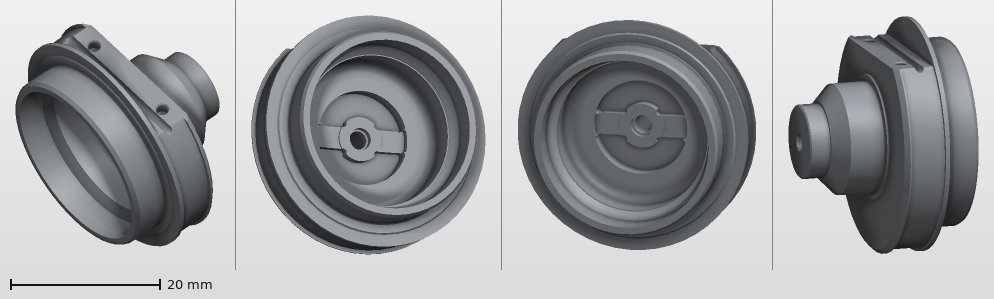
import cadquery as cq
import math


length = 21.25
neck_y = 4.7
step_y = 4.85
flange_front_y = 5.05
flange_back_y = 5.65
lip_y = 10.4
body_back_y = 11.25
collar_back_y = 11.55
boss_y = 18.45

sleeve_radius = 12.7
step_radius = 14.15
flange_radius = 15.75
groove_radius = 15.25
collar_radius = 8.4
shoulder_radius = 7.5
cone_small_radius = 5.4
boss_radius = 5.0

sleeve_chamfer_length = 0.55
sleeve_chamfer_depth = 0.3
neck_chamfer = step_y - neck_y
step_chamfer = flange_front_y - step_y
lip_chamfer = 0.65
collar_foot_fillet = 0.25
shoulder_foot_chamfer = 0.13
boss_chamfer = 0.2

mouth_radius = 11.5
mouth_depth = 3.9
bore_radius = 10.3
seat_ledge = 0.13
seat_depth = mouth_depth + mouth_radius - bore_radius - seat_ledge
floor_depth = 10.0
floor_fillet = 1.25

recess_radius = 6.42
recess_depth = 2.2
bar_half_width = 1.47
bar_drop = 1.1
hub_radius = 3.0
hub_drop = 0.8
relief_radius = 0.5
hub_relief_x = 2.47
bar_end_overcut = 0.08
center_hole_radius = 1.25
counterbore_radius = 1.5
counterbore_depth = 1.0

flat_z = 11.5
cross_groove_y = 7.6
cross_groove_radius = 0.6
pin_hole_x = 7.0
pin_hole_y = 9.2
pin_hole_radius = 0.8
pin_hole_chamfer = 0.2
pin_hole_depth = 1.5
drill_point_angle = 118.0


def revolve_profile(profile):
    """Turn a half profile, drawn as (radius, y), about the Y axis."""
    return profile.close().revolve(360, (0, 0, 0), (0, 1, 0))


def cylinder(radius, y_start, y_end):
    """Solid cylinder along Y."""
    return cq.Workplane("XZ", origin=(0, y_start, 0)).circle(radius).extrude(y_start - y_end)


def slab(width, height, y_start, y_end):
    """Rectangular block centred on the Y axis."""
    return cq.Workplane("XZ", origin=(0, y_start, 0)).rect(width, height).extrude(y_start - y_end)


def make_body():
    foot_arc_offset = collar_foot_fillet * (1 - math.sqrt(0.5))
    front_outline = [
        (0, 0),
        (sleeve_radius - sleeve_chamfer_depth, 0),
        (sleeve_radius, sleeve_chamfer_length),
        (sleeve_radius, neck_y),
        (sleeve_radius + neck_chamfer, step_y),
        (step_radius - step_chamfer, step_y),
        (step_radius, flange_front_y),
        (flange_radius, flange_front_y),
        (flange_radius, flange_back_y),
        (groove_radius, flange_back_y),
        (groove_radius, lip_y),
        (flange_radius, lip_y),
        (flange_radius, body_back_y - lip_chamfer),
        (flange_radius - lip_chamfer, body_back_y),
        (collar_radius + collar_foot_fillet, body_back_y),
    ]
    foot_arc_middle = (collar_radius + foot_arc_offset, body_back_y + foot_arc_offset)
    foot_arc_end = (collar_radius, body_back_y + collar_foot_fillet)
    rear_outline = [
        foot_arc_end,
        (collar_radius, collar_back_y),
        (shoulder_radius + shoulder_foot_chamfer, collar_back_y),
        (shoulder_radius, collar_back_y + shoulder_foot_chamfer),
        (shoulder_radius, boss_y - (shoulder_radius - cone_small_radius)),
        (cone_small_radius, boss_y),
        (boss_radius, boss_y),
        (boss_radius, length - boss_chamfer),
        (boss_radius - boss_chamfer, length),
        (0, length),
    ]
    profile = cq.Workplane("XY").polyline(front_outline)
    profile = profile.threePointArc(foot_arc_middle, foot_arc_end)
    profile = profile.polyline(rear_outline)
    return revolve_profile(profile)


def make_bore():
    fillet_start_y = floor_depth - floor_fillet
    floor_radius = bore_radius - floor_fillet
    fillet_mid = floor_fillet * math.sqrt(0.5)
    profile = (
        cq.Workplane("XY")
        .moveTo(0, 0)
        .lineTo(mouth_radius, 0)
        .lineTo(mouth_radius, mouth_depth)
        .lineTo(bore_radius + seat_ledge, seat_depth)
        .lineTo(bore_radius, seat_depth)
        .lineTo(bore_radius, fillet_start_y)
        .threePointArc((floor_radius + fillet_mid, fillet_start_y + fillet_mid), (floor_radius, floor_depth))
        .lineTo(0, floor_depth)
    )
    return revolve_profile(profile)


def make_recess():
    """Two deep pockets beside the bar, plus the shallower clearances over the bar and the hub."""
    recess_end = floor_depth + recess_depth
    bar_y = floor_depth + bar_drop
    hub_y = floor_depth + hub_drop

    bar = slab(2 * flange_radius, 2 * bar_half_width, floor_depth, recess_end)
    hub = cylinder(hub_radius, floor_depth, recess_end)
    pockets = cylinder(recess_radius, floor_depth, recess_end).cut(bar).cut(hub)
    pockets = pockets.edges("|Y").edges("<X or >X").fillet(relief_radius)

    end_relief_z = bar_half_width - bar_end_overcut + relief_radius
    end_relief_x = math.sqrt((recess_radius - relief_radius) ** 2 - end_relief_z**2)
    hub_relief_z = bar_half_width + relief_radius
    for relief_x, relief_z in ((end_relief_x, end_relief_z), (hub_relief_x, hub_relief_z)):
        for x_side in (-1, 1):
            for z_side in (-1, 1):
                relief = cylinder(relief_radius, floor_depth, recess_end)
                pockets = pockets.union(relief.translate((x_side * relief_x, 0, z_side * relief_z)))

    over_bar = slab(2 * flange_radius, 2 * bar_half_width, floor_depth, bar_y)
    over_bar = over_bar.intersect(cylinder(recess_radius, floor_depth, bar_y))
    over_bar = over_bar.cut(cylinder(hub_radius, floor_depth, bar_y))
    over_hub = cylinder(hub_radius, floor_depth, hub_y)
    return pockets.union(over_bar).union(over_hub)


def make_center_hole():
    """Through hole with a counterbore in the hub face."""
    hub_y = floor_depth + hub_drop
    counterbore = cylinder(counterbore_radius, hub_y, hub_y + counterbore_depth)
    return cylinder(center_hole_radius, hub_y, length).union(counterbore)


def make_flat():
    """Material removed above the flat, between the flange and the rear face of the body."""
    depth = body_back_y - flange_back_y
    height = flange_radius - flat_z
    removed = cq.Workplane("XY").box(2 * flange_radius, depth, height, centered=(True, False, False))
    return removed.translate((0, flange_back_y, flat_z))


def make_cross_groove():
    start = (-flange_radius, cross_groove_y, flat_z)
    return cq.Workplane("YZ", origin=start).circle(cross_groove_radius).extrude(2 * flange_radius)


def make_pin_hole(x):
    """Blind hole down from the flat, with a chamfered mouth and a drill point."""
    point_length = pin_hole_radius / math.tan(math.radians(drill_point_angle / 2))
    profile = [
        (0, 0),
        (pin_hole_radius + pin_hole_chamfer, 0),
        (pin_hole_radius, -pin_hole_chamfer),
        (pin_hole_radius, -pin_hole_depth),
        (0, -pin_hole_depth - point_length),
    ]
    hole = cq.Workplane("XZ").polyline(profile).close().revolve(360, (0, 0, 0), (0, 1, 0))
    return hole.translate((x, pin_hole_y, flat_z))


result = make_body().cut(make_bore()).cut(make_recess()).cut(make_center_hole())
result = result.cut(make_flat()).cut(make_cross_groove())
for side in (-1, 1):
    result = result.cut(make_pin_hole(side * pin_hole_x))